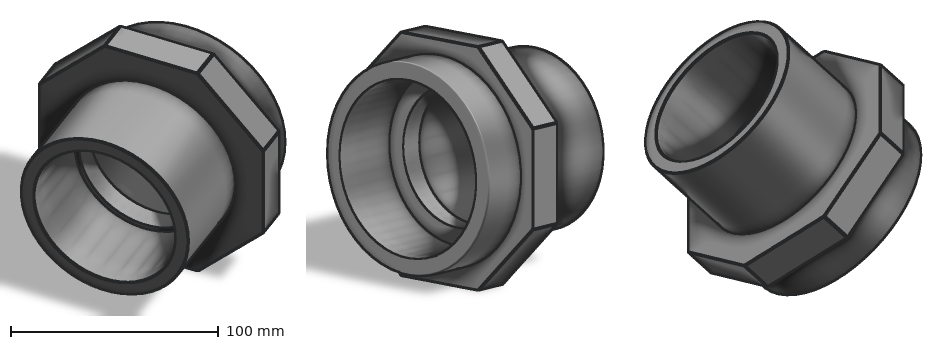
import cadquery as cq

flange_width = 120.5
flange_length = 18.0
flange_edge_break = 0.5

spigot_diameter = 90.0
spigot_length = 51.0
spigot_edge_break = 0.5
collar_diameter = 105.0
collar_length = 22.9
collar_edge_round = 1.0

socket_mouth_diameter = 75.4
socket_end_diameter = 75.0
socket_depth = 44.0
socket_edge_break = 0.5
throat_diameter = 70.0
collar_socket_diameter = 87.8
collar_socket_depth = 36.2

flange_front = spigot_length
flange_back = flange_front + flange_length
flange_middle = flange_front + flange_length / 2
total_length = flange_back + collar_length
throat_end = total_length - collar_socket_depth


def cylinder(diameter, start, end):
    """Cylinder about the Y axis between two stations."""
    plane = cq.Workplane("XZ", origin=(0, start, 0))
    return plane.circle(diameter / 2).extrude(start - end)


def octagonal_flange():
    """Octagon with flats facing X and Z, all edges lightly broken."""
    blank = cq.Workplane("XZ", origin=(0, flange_front, 0))
    blank = blank.rect(flange_width, flange_width).extrude(-flange_length)
    turned_blank = blank.rotate((0, 0, 0), (0, 1, 0), 45)
    return blank.intersect(turned_blank).edges().chamfer(flange_edge_break)


def spigot():
    """Plain pipe end in front of the flange, reaching to the flange middle."""
    body = cylinder(spigot_diameter, 0, flange_middle)
    return body.faces("<Y").edges().chamfer(spigot_edge_break)


def collar():
    """Wider ring behind the flange, starting at the flange middle."""
    body = cylinder(collar_diameter, flange_middle, total_length)
    return body.faces(">Y").edges().fillet(collar_edge_round)


def stepped_bore():
    """Material removed along the axis: a half profile (radius, Y) turned about the Y axis."""
    mouth_radius = socket_mouth_diameter / 2
    profile = (
        cq.Workplane("XY")
        .lineTo(mouth_radius + socket_edge_break, 0)
        .lineTo(mouth_radius, socket_edge_break)
        .lineTo(socket_end_diameter / 2, socket_depth)
        .lineTo(throat_diameter / 2, socket_depth)
        .lineTo(throat_diameter / 2, throat_end)
        .lineTo(collar_socket_diameter / 2, throat_end)
        .lineTo(collar_socket_diameter / 2, total_length)
        .lineTo(0, total_length)
        .close()
    )
    return profile.revolve(360, (0, 0, 0), (0, 1, 0))


result = octagonal_flange().union(spigot()).union(collar()).cut(stepped_bore())